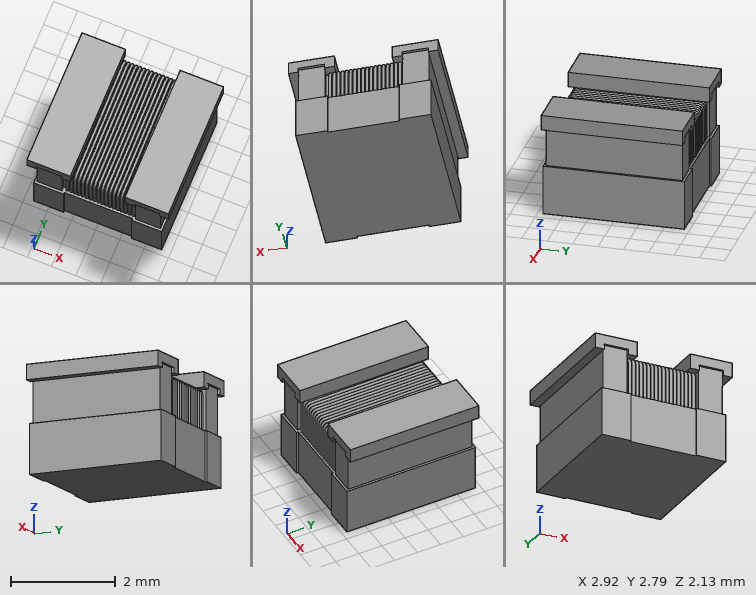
import cadquery as cq

length = 2.92
depth = 2.79
height = 2.13

base_height = 1.0
base_length = 2.64
body_length = 1.4
body_depth = 2.713

turns = 18
first_to_last = 1.36
pitch = first_to_last / (turns - 1)
wire_diameter = 0.065
wire_sink = 0.005
coil_depth = 2.622
coil_top = 1.822
bend_radius = 0.075
top_shift = 0.025
wire_embed = 0.058

flange_span = 2.54
flange_gap = 1.518
flange_depth = 2.685
flange_top = height - 0.195
bar_depth = coil_depth - 2 * (wire_diameter - wire_sink)
bar_top = coil_top - wire_diameter + wire_sink

cap_gap = 1.127
cap_bottom = height - 0.305


def center_block(x_size, y_size, bottom, top):
    """Block centred on X and Y, given by its lower and upper Z."""
    block = cq.Workplane("XY").box(x_size, y_size, top - bottom, centered=(True, True, False))
    return block.translate((0, 0, bottom))


def end_blocks(inner_span, outer_span, y_size, bottom, top):
    """Mirrored pair of blocks lying between two X spans."""
    whole = center_block(outer_span, y_size, bottom, top)
    return whole.cut(center_block(inner_span, y_size, bottom, top))


def make_base():
    body = center_block(body_length, body_depth, 0, base_height)
    terminals = end_blocks(body_length, base_length, depth, 0, base_height)
    return body.union(terminals)


def make_core():
    flanges = end_blocks(flange_gap, flange_span, flange_depth, base_height, flange_top)
    bar = center_block(flange_gap, bar_depth, base_height, bar_top)
    return flanges.union(bar)


def make_caps():
    """Two end caps, each with a channel along Y that fits over a flange."""
    caps = end_blocks(cap_gap, length, depth, cap_bottom, height)
    channels = end_blocks(flange_gap, flange_span, depth, cap_bottom, flange_top)
    return caps.cut(channels)


def make_turn():
    """One wire: up the front of the bar, slanting across its top, and down the back."""
    half_depth = (coil_depth - wire_diameter) / 2
    start_z = base_height - wire_embed
    rise = coil_top - wire_diameter / 2 - start_z
    slant = cq.Vector(-top_shift, 2 * half_depth, 0)
    run = slant.Length
    start = (top_shift / 2, -half_depth, start_z)
    plane = cq.Plane(start, xDir=slant, normal=slant.cross(cq.Vector(0, 0, 1)))
    path = (
        cq.Workplane(plane)
        .lineTo(0, rise - bend_radius)
        .radiusArc((bend_radius, rise), bend_radius)
        .lineTo(run - bend_radius, rise)
        .radiusArc((run, rise - bend_radius), bend_radius)
        .lineTo(run, 0)
    )
    return cq.Workplane("XY", origin=start).circle(wire_diameter / 2).sweep(path)


result = make_base().union(make_core()).union(make_caps())

turn = make_turn()
first_turn_x = -first_to_last / 2
for index in range(turns):
    result = result.union(turn.translate((first_turn_x + index * pitch, 0, 0)))